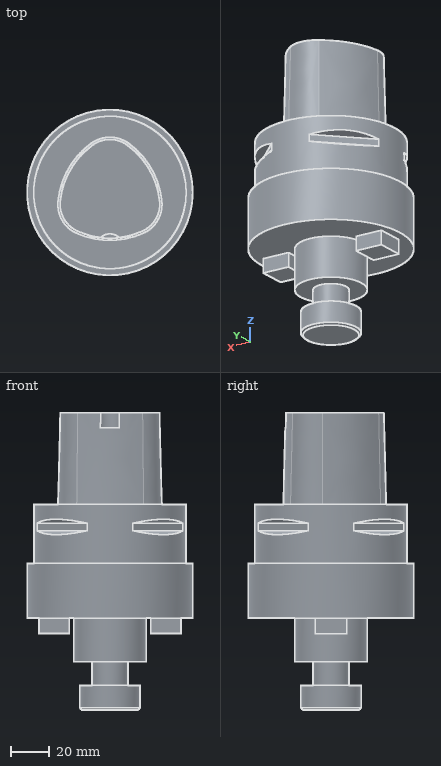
import cadquery as cq
import math


SHANK_LENGTH = 48.0
SHANK_TAPER = math.degrees(math.atan(1 / 40))
LOBE_REACH = 29.0
SIDE_REACH = 25.1
LOBE_RADIUS = 16.6
LOBE_ANGLES = (90, 210, 330)

NOTCH_WIDTH = 10.0
NOTCH_DEPTH = 8.0
NOTCH_REACH = 21.7
NOTCH_RADIUS = 7.0

FLANGE_DIAMETER = 80.0
FLANGE_HEIGHT = 31.0
COLLAR_DIAMETER = 87.0
COLLAR_HEIGHT = 28.7
PILOT_DIAMETER = 38.1
PILOT_HEIGHT = 23.0
NECK_DIAMETER = 19.05
NECK_HEIGHT = 12.2
HEAD_DIAMETER = 31.75
TOTAL_HEIGHT = 156.0
HEAD_CHAMFER = 1.2

GROOVE_COUNT = 4
GROOVE_FIRST_ANGLE = 45.0
GROOVE_DROP = 11.9
GROOVE_FLOOR_HEIGHT = 3.85
GROOVE_FLOOR_REACH = 35.45
GROOVE_FLANK_ANGLE = 25.0

KEY_LENGTH = 16.0
KEY_WIDTH = 16.5
KEY_HEIGHT = 8.1
KEY_OUTER_REACH = 37.3

COLLAR_TOP = -FLANGE_HEIGHT
COLLAR_BOTTOM = COLLAR_TOP - COLLAR_HEIGHT
PILOT_BOTTOM = COLLAR_BOTTOM - PILOT_HEIGHT
NECK_BOTTOM = PILOT_BOTTOM - NECK_HEIGHT
HEAD_BOTTOM = SHANK_LENGTH - TOTAL_HEIGHT


def polar(radius, angle):
    """Point in the XY plane at a radius and an angle in degrees."""
    return radius * math.cos(math.radians(angle)), radius * math.sin(math.radians(angle))


def shank():
    """Three-lobed shank: lobe arcs joined tangentially by flatter side arcs."""
    lobe_offset = LOBE_REACH - LOBE_RADIUS
    half_spacing = lobe_offset * math.sin(math.radians(60))
    half_offset = lobe_offset / 2
    gap = SIDE_REACH - half_offset
    side_radius = (half_spacing**2 + gap**2 - LOBE_RADIUS**2) / (2 * (gap - LOBE_RADIUS))
    side_half_turn = math.degrees(math.asin(half_spacing / (side_radius - LOBE_RADIUS)))
    lobe_half_turn = 60 - side_half_turn

    def lobe_point(lobe_angle, turn):
        center_x, center_y = polar(lobe_offset, lobe_angle)
        x, y = polar(LOBE_RADIUS, lobe_angle + turn)
        return center_x + x, center_y + y

    outline = cq.Workplane("XY").moveTo(*lobe_point(LOBE_ANGLES[0], -lobe_half_turn))
    for angle in LOBE_ANGLES:
        outline = outline.threePointArc(lobe_point(angle, 0), lobe_point(angle, lobe_half_turn))
        outline = outline.threePointArc(polar(SIDE_REACH, angle + 60), lobe_point(angle + 120, -lobe_half_turn))
    return outline.close().extrude(SHANK_LENGTH, taper=SHANK_TAPER)


def notch():
    """Cutter for the round-walled notch at the top of the shank's -Y side."""
    center_y = -NOTCH_REACH - NOTCH_RADIUS
    floor = cq.Workplane("XY").workplane(offset=SHANK_LENGTH - NOTCH_DEPTH).center(0, center_y)
    cylinder = floor.circle(NOTCH_RADIUS).extrude(NOTCH_DEPTH)
    slot = floor.rect(NOTCH_WIDTH, 2 * NOTCH_RADIUS).extrude(NOTCH_DEPTH)
    return cylinder.intersect(slot)


def disc(diameter, top, bottom):
    """Cylinder on the Z axis between two heights."""
    return cq.Workplane("XY").workplane(offset=bottom).circle(diameter / 2).extrude(top - bottom)


def body():
    """Flange, collar, pilot, neck and screw head."""
    flange = disc(FLANGE_DIAMETER, 0, COLLAR_TOP)
    collar = disc(COLLAR_DIAMETER, COLLAR_TOP, COLLAR_BOTTOM)
    pilot = disc(PILOT_DIAMETER, COLLAR_BOTTOM, PILOT_BOTTOM)
    neck = disc(NECK_DIAMETER, PILOT_BOTTOM, NECK_BOTTOM)
    head = disc(HEAD_DIAMETER, NECK_BOTTOM, HEAD_BOTTOM).faces("<Z").chamfer(HEAD_CHAMFER)
    return flange.union(collar).union(pilot).union(neck).union(head)


def gripper_groove(angle):
    """Cutter for one straight groove with a flat floor and flaring flanks."""
    outer_reach = FLANGE_DIAMETER / 2
    floor_half = GROOVE_FLOOR_HEIGHT / 2
    flare = (outer_reach - GROOVE_FLOOR_REACH) * math.tan(math.radians(GROOVE_FLANK_ANGLE))
    mouth_half = floor_half + flare
    profile = cq.Workplane("XZ").polyline([
        (GROOVE_FLOOR_REACH, -GROOVE_DROP - floor_half),
        (outer_reach, -GROOVE_DROP - mouth_half),
        (outer_reach, -GROOVE_DROP + mouth_half),
        (GROOVE_FLOOR_REACH, -GROOVE_DROP + floor_half),
    ])
    cutter = profile.close().extrude(FLANGE_DIAMETER / 2, both=True)
    return cutter.rotate((0, 0, 0), (0, 0, 1), angle)


def drive_key(side):
    """Drive key under the collar; side is +1 or -1 along X."""
    middle = side * (KEY_OUTER_REACH - KEY_LENGTH / 2)
    under_collar = cq.Workplane("XY").workplane(offset=COLLAR_BOTTOM)
    return under_collar.center(middle, 0).rect(KEY_LENGTH, KEY_WIDTH).extrude(-KEY_HEIGHT)


result = body().union(shank().cut(notch()))
for index in range(GROOVE_COUNT):
    result = result.cut(gripper_groove(GROOVE_FIRST_ANGLE + index * 360 / GROOVE_COUNT))
for side in (1, -1):
    result = result.union(drive_key(side))